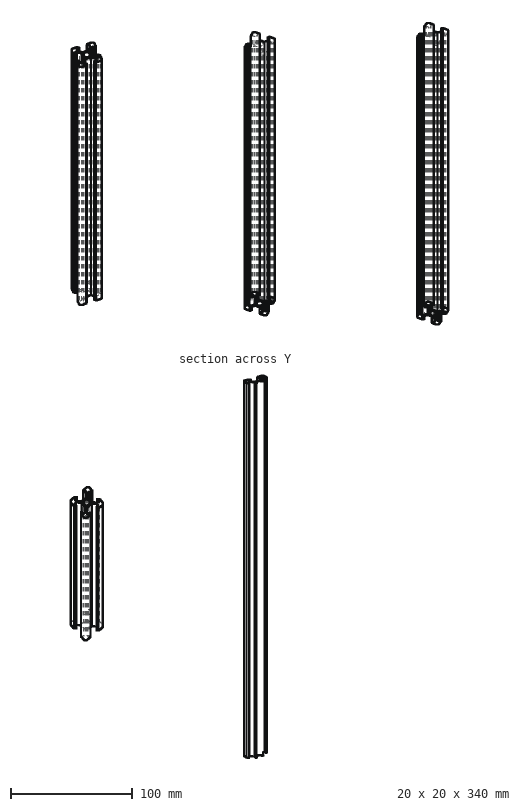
import cadquery as cq
import math

length = 340
width = 20.0
corner_radius = 2.0
bore_diameter = 5.0
core_width = 7.0
web_thickness = 1.5

mouth_width = 9.0
throat_width = 6.5
bevel_depth = 1.5
lip_thickness = 1.7
cavity_width = 11.2
cavity_side_depth = 3.5

half_width = width / 2
half_core = core_width / 2
half_mouth = mouth_width / 2
half_throat = throat_width / 2
half_cavity = cavity_width / 2

web_offset = web_thickness / math.sqrt(2)


def make_slot():
    """Solid filling the slot on the +Y side."""
    tip_y = half_width - bevel_depth
    lip_back_y = half_width - lip_thickness
    side_y = half_width - cavity_side_depth
    shoulder_x = side_y - web_offset
    floor_x = half_core - web_offset
    right_side = [
        (half_mouth, half_width),
        (half_throat, tip_y),
        (half_throat, lip_back_y),
        (half_cavity, lip_back_y),
        (half_cavity, side_y),
        (shoulder_x, side_y),
        (floor_x, half_core),
    ]
    left_side = [(-x, y) for x, y in reversed(right_side)]
    return cq.Workplane("XY").polyline(right_side + left_side).close().extrude(length)


result = cq.Workplane("XY").rect(width, width).extrude(length)
result = result.edges("|Z").fillet(corner_radius)

slot = make_slot()
for side in range(4):
    result = result.cut(slot.rotate((0, 0, 0), (0, 0, 1), 90 * side))

bore = cq.Workplane("XY").circle(bore_diameter / 2).extrude(length)
result = result.cut(bore)